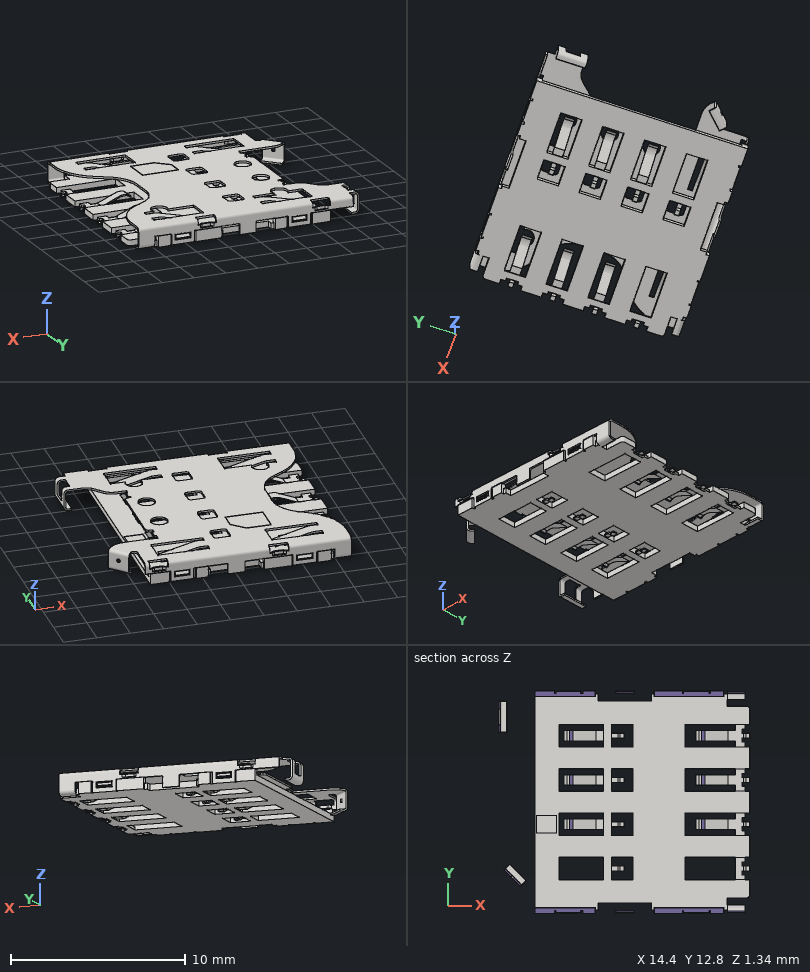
import cadquery as cq
import math


LENGTH = 14.42
WIDTH = 12.8
HEIGHT = 1.34
X_MIN = -LENGTH / 2
X_MAX = LENGTH / 2

PITCH = 2.54
ROWS = [(i - 1.5) * PITCH for i in range(4)]
SPRING_ROWS = ROWS[1:]
COLUMN_STEP = 7.56

SHEET = 0.12
BEND = 0.25
COVER_HALF = 6.36
COVER_RIGHT = 6.93
SKIRT_Z = 0.69
FLANGE = 0.48
WINDOW_LENGTH = 3.1
WINDOW_WIDTH = 1.4
WINDOW_Y = 4.75
WINDOW_ROOTS = [-1.30, 5.53]
FINGER_HINGES = [-1.81, 5.03]
FINGER_BENDS = [0.06, 0.18]
FINGER_BEND_SLOPE = 0.14
FINGER_WIDTH = 0.78
FINGER_Y = 4.72
FINGER_REACH = 2.78
FINGER_DROP = 0.54
ROUND_HOLE_R = 0.5
ROUND_HOLE_X = -3.07
SQUARE_HOLE_X = -0.18
SQUARE_HOLE = 1.0
SQUARE_HOLE_R = 0.17
ENGRAVE = 0.02

LEFT_TAB_Y = 4.9
LEFT_TAB_WIDTH = 1.79
CORNER_TAB_CENTER = (-6.435, -4.365)
CORNER_TAB_WIDTH = 1.35
CORNER_TAB_ANGLE = 45

PLAIN_SKIRT = (-0.46, 0.55)
LATCH_SKIRTS = [(-3.89, -2.51), (3.42, 4.85)]
LATCH_MARGIN = 0.22
LATCH_Z = (0.28, 0.62)
END_SKIRT = (5.92, COVER_RIGHT)
NOTCHES = [(-5.14, -4.04), (2.05, 3.18)]
NOTCH_INNER_Y = 6.0
DIMPLE_Z = (0.78, 0.97)
DIMPLE_DEPTH = 0.12

BASE_LEFT = -5.13
FLOOR = 0.37
FLOOR_HALF = 6.2
RAIL_INNER_Y = 6.05
RAILS = [(BASE_LEFT, -1.65), (1.71, 5.71)]
RAIL_BLOCKS = [(BASE_LEFT, -3.99), (-2.38, -1.65), (1.71, 3.35), (4.92, 5.71)]
CELL_WIDTH = 1.28
SIDE_RECESS = (-1.48, 1.55)
SIDE_RECESS_Y = 5.8
LEFT_CELLS = (-3.72, -1.2)
RIGHT_CELLS = (3.49, 6.36)
STRIP_TOP = 0.16
STRIP_RIGHT = 6.93
END_LUG_OUTER_Y = 5.51
END_LUG_R = 0.2
LATCH_CHAMFER = (0.18, 0.1)
FOOT_CELL = (-0.72, 0.5)
FOOT_NOTCH_DEPTH = 0.17
FOOT_NOTCH_HALF = 0.36
PIN_MARK_X = (-5.02, -3.9)
PIN_MARK_HALF = 0.5

CONTACT_WIDTH = 0.62
FOOT_WIDTH = 0.3
CONTACT_SHEET = 0.08
FOOT_ROOT = 0.1
MIDDLE_FOOT_END = 0.0
SPRING_ROOT = 0.05
CREST_Z = 0.68


def block(x, y, z):
    """Box between the (low, high) limits on each axis."""
    size = (x[1] - x[0], y[1] - y[0], z[1] - z[0])
    return cq.Workplane("XY").box(*size, centered=False).translate((x[0], y[0], z[0]))


def mirrored(body):
    """The body together with its mirror image across Y = 0."""
    return body.union(body.mirror("XZ"))


def profile_along_y(points, y_mid, width):
    """Closed XZ outline extruded symmetrically about y_mid."""
    sheet = cq.Workplane("XZ").polyline(points).close().extrude(width / 2, both=True)
    return sheet.translate((0, y_mid, 0))


def bent_strip(width):
    """C-shaped bent sheet: outer face on X = 0, both flanges pointing to +X."""
    reach = FLANGE + BEND
    half = width / 2
    outer = block((0, reach), (-half, half), (0, HEIGHT)).edges("<X and |Y").fillet(BEND)
    inner = block((SHEET, 2 * reach), (-half, half), (SHEET, HEIGHT - SHEET))
    inner = inner.edges("<X and |Y").fillet(BEND - SHEET)
    end = block((FLANGE, 2 * reach), (-half, half), (0, HEIGHT))
    return outer.cut(inner).cut(end)


def cover_outline():
    """Plan shape of the cover with its two left lobes and the S-curved right edge."""
    lip_x, lip_half = 3.89, 0.66
    hollow_r, nose_r = 2.0, 2.9
    slope = math.radians(32)
    turn = math.pi / 2 - slope

    def on_hollow(angle):
        return (lip_x + hollow_r * (1 - math.cos(angle)), lip_half + hollow_r * math.sin(angle))

    hollow_mid, hollow_end = on_hollow(turn / 2), on_hollow(turn)
    run = COVER_RIGHT - nose_r * (1 - math.cos(turn)) - hollow_end[0]
    nose_y = hollow_end[1] + run * math.tan(slope) + nose_r * math.sin(turn)

    def on_nose(angle):
        return (COVER_RIGHT - nose_r * (1 - math.cos(angle)), nose_y - nose_r * math.sin(angle))

    nose_mid, nose_end = on_nose(turn / 2), on_nose(turn)

    def flip(point):
        return (point[0], -point[1])

    tab_in = (BEND - CORNER_TAB_WIDTH / 2) * math.sqrt(0.5)
    tab_out = (BEND + CORNER_TAB_WIDTH / 2) * math.sqrt(0.5)
    tab_x, tab_y = CORNER_TAB_CENTER
    tab_top = (tab_x + tab_in, tab_y + tab_out)
    tab_bottom = (tab_x + tab_out, tab_y + tab_in)
    relief = 0.065

    tab_low_y = LEFT_TAB_Y - LEFT_TAB_WIDTH / 2
    tab_high_y = LEFT_TAB_Y + LEFT_TAB_WIDTH / 2
    front_x, back_x = -5.41, -6.59
    edge_x, step_x, inset_x = -3.76, -3.88, -4.15
    return (
        cq.Workplane("XY")
        .moveTo(front_x, -COVER_HALF)
        .lineTo(COVER_RIGHT, -COVER_HALF)
        .lineTo(COVER_RIGHT, -nose_y)
        .threePointArc(flip(nose_mid), flip(nose_end))
        .lineTo(*flip(hollow_end))
        .threePointArc(flip(hollow_mid), (lip_x, -lip_half))
        .lineTo(lip_x, lip_half)
        .threePointArc(hollow_mid, hollow_end)
        .lineTo(*nose_end)
        .threePointArc(nose_mid, (COVER_RIGHT, nose_y))
        .lineTo(COVER_RIGHT, COVER_HALF)
        .lineTo(back_x, COVER_HALF)
        .lineTo(back_x, tab_high_y)
        .lineTo(X_MIN + BEND, tab_high_y)
        .lineTo(X_MIN + BEND, tab_low_y)
        .lineTo(-6.08, tab_low_y)
        .threePointArc((-5.75, 3.92), (-5.47, 3.7))
        .lineTo(-5.12, 3.32)
        .threePointArc((-4.78, 3.05), (-4.35, 2.96))
        .lineTo(edge_x, 2.96)
        .lineTo(edge_x, 2.74)
        .lineTo(step_x, 2.74)
        .lineTo(step_x, 2.2)
        .lineTo(edge_x, 2.2)
        .lineTo(edge_x, 2.09)
        .lineTo(-4.0, 2.09)
        .lineTo(inset_x, 1.94)
        .lineTo(inset_x, -2.11)
        .lineTo(-4.0, -2.26)
        .lineTo(edge_x, -2.26)
        .lineTo(edge_x, -2.5)
        .lineTo(step_x, -2.5)
        .lineTo(step_x, -3.02)
        .lineTo(edge_x, -3.02)
        .lineTo(edge_x, -3.33)
        .lineTo(-6.0, -3.33)
        .threePointArc((-6.4, -3.45), tab_top)
        .lineTo(*tab_bottom)
        .lineTo(tab_bottom[0] + relief, tab_bottom[1] + relief)
        .threePointArc((-5.5, -4.62), (front_x, -4.82))
        .close()
        .extrude(HEIGHT)
    )


def cover_channel():
    """Top sheet with both side walls bent down to the mounting plane."""
    along = (X_MIN, COVER_RIGHT)
    inner_half = COVER_HALF - SHEET
    outer = block(along, (-COVER_HALF, COVER_HALF), (0, HEIGHT))
    inner = block(along, (-inner_half, inner_half), (0, HEIGHT - SHEET))
    outer = outer.edges(">Z and |X").fillet(BEND)
    inner = inner.edges(">Z and |X").fillet(BEND - SHEET)
    return outer.cut(inner).intersect(cover_outline())


def skirt_cuts():
    """Material below the side walls, between the tabs that reach down, on the -Y side."""
    corner_r = 0.08
    gap_ends = sorted([PLAIN_SKIRT, (COVER_RIGHT, COVER_RIGHT)] + LATCH_SKIRTS)
    wall_y = (-COVER_HALF, -COVER_HALF + SHEET)
    cuts = cq.Workplane("XY")
    start = X_MIN
    for low, high in gap_ends:
        gap = block((start, low), wall_y, (0, SKIRT_Z)).edges(">Z and |Y").fillet(corner_r)
        cuts = cuts.union(gap)
        start = high
    for low, high in LATCH_SKIRTS:
        cuts = cuts.union(block((low + LATCH_MARGIN, high - LATCH_MARGIN), wall_y, LATCH_Z))
    return cuts


def end_skirts():
    """Bent-under side tabs at the right end of the cover."""
    strip = bent_strip(END_SKIRT[1] - END_SKIRT[0]).rotate((0, 0, 0), (0, 0, 1), 90)
    return mirrored(strip.translate((sum(END_SKIRT) / 2, -COVER_HALF, 0)))


def left_tab():
    """Tab at the left edge, bent down and under, with an opening over the upper bend."""
    opening_depth, opening_bottom, corner_r = 0.48, 0.45, 0.08
    opening_y = (LEFT_TAB_Y - 0.45, LEFT_TAB_Y + 0.43)
    opening = block((X_MIN, X_MIN + opening_depth), opening_y, (opening_bottom, HEIGHT))
    opening = opening.edges("<Z and |X").fillet(corner_r)
    return bent_strip(LEFT_TAB_WIDTH).translate((X_MIN, LEFT_TAB_Y, 0)), opening


def corner_tab():
    """Diagonal tab with a pin hole."""
    hole_r, hole_z = 0.11, 0.75
    hole = cq.Workplane("YZ").center(0, hole_z).circle(hole_r).extrude(SHEET)
    strip = bent_strip(CORNER_TAB_WIDTH).cut(hole)
    strip = strip.rotate((0, 0, 0), (0, 0, 1), CORNER_TAB_ANGLE)
    return strip.translate(CORNER_TAB_CENTER + (0,))


def cover_holes():
    """Finger windows, contact inspection holes and the shallow engraved panel."""
    cuts = cq.Workplane("XY")
    for root in WINDOW_ROOTS:
        cuts = cuts.union(
            cq.Workplane("XY")
            .pushPoints([(root - WINDOW_LENGTH / 2, s * WINDOW_Y) for s in (-1, 1)])
            .rect(WINDOW_LENGTH, WINDOW_WIDTH)
            .extrude(HEIGHT)
        )
    round_spots = [(ROUND_HOLE_X, y) for y in SPRING_ROWS]
    round_spots.append((ROUND_HOLE_X + COLUMN_STEP, ROWS[-1]))
    rounds = cq.Workplane("XY").pushPoints(round_spots).circle(ROUND_HOLE_R).extrude(HEIGHT)
    squares = (
        cq.Workplane("XY")
        .pushPoints([(SQUARE_HOLE_X, y) for y in ROWS])
        .rect(SQUARE_HOLE, SQUARE_HOLE)
        .extrude(HEIGHT)
        .edges("|Z")
        .fillet(SQUARE_HOLE_R)
    )
    panel = (
        cq.Workplane("XY", origin=(0, 0, HEIGHT - ENGRAVE))
        .polyline([(0.7, -1.88), (2.95, -1.88), (2.95, -3.56), (1.48, -3.56), (0.7, -2.85)])
        .close()
        .extrude(ENGRAVE)
    )
    above_base = block((X_MIN, X_MAX), (-WIDTH, WIDTH), (HEIGHT - SHEET, HEIGHT))
    return cuts.union(rounds).union(squares).intersect(above_base).union(panel)


def cover_fingers():
    """Card-pressing fingers sloping down to the left inside each window."""
    fingers = cq.Workplane("XY")
    under = HEIGHT - SHEET
    for root, hinge, bend in zip(WINDOW_ROOTS, FINGER_HINGES, FINGER_BENDS):
        bend_drop = bend * FINGER_BEND_SLOPE
        tip = root - FINGER_REACH
        outline = [
            (root, HEIGHT),
            (hinge, HEIGHT),
            (hinge - bend, HEIGHT - bend_drop),
            (tip, HEIGHT - FINGER_DROP),
            (tip, under - FINGER_DROP),
            (hinge - bend, under - bend_drop),
            (hinge, under),
            (root, under),
        ]
        fingers = fingers.union(profile_along_y(outline, FINGER_Y, FINGER_WIDTH))
    return mirrored(fingers)


def bend_notches():
    """Openings through the bend above each wall dimple, on the -Y side."""
    cuts = cq.Workplane("XY")
    for span in NOTCHES:
        cuts = cuts.union(block(span, (-COVER_HALF, -NOTCH_INNER_Y), (DIMPLE_Z[1], HEIGHT)))
    return cuts


def dimple(span, y_face, depth):
    """Trapezoid pressed inward from the wall plane at y_face."""
    margin, taper = 0.14, 0.16
    low, high = span[0] + margin, span[1] - margin
    return (
        cq.Workplane("XY", origin=(0, 0, DIMPLE_Z[0]))
        .polyline([
            (low, y_face),
            (high, y_face),
            (high - taper, y_face + depth),
            (low + taper, y_face + depth),
        ])
        .close()
        .extrude(DIMPLE_Z[1] - DIMPLE_Z[0])
    )


def make_cover():
    """Cover sheet with its tabs, wall dimples, holes and fingers."""
    tab, opening = left_tab()
    cover = cover_channel().cut(mirrored(skirt_cuts())).cut(mirrored(bend_notches()))
    for span in NOTCHES:
        cover = cover.union(mirrored(dimple(span, SHEET - COVER_HALF, DIMPLE_DEPTH)))
        cover = cover.cut(mirrored(dimple(span, -COVER_HALF, DIMPLE_DEPTH)))
    cover = cover.union(end_skirts()).union(tab).cut(opening).union(corner_tab())
    return cover.cut(cover_holes()).union(cover_fingers())


def base_rails():
    """Side rails of the base with outer blocks and latch lugs, on the -Y side."""
    outer_y = -WIDTH / 2
    clearance = 0.05
    rails = cq.Workplane("XY")
    for span in RAILS:
        rails = rails.union(block(span, (-COVER_HALF + SHEET, -RAIL_INNER_Y), (0, SKIRT_Z)))
    for span in RAIL_BLOCKS:
        rails = rails.union(block(span, (outer_y, -RAIL_INNER_Y), (0, SKIRT_Z)))
    for low, high in LATCH_SKIRTS:
        gap = LATCH_MARGIN + clearance
        lug_z = (LATCH_Z[0] + clearance, LATCH_Z[1] - clearance)
        lug = block((low + gap, high - gap), (outer_y, -RAIL_INNER_Y), lug_z)
        rails = rails.union(lug.edges("<Y and >Z").chamfer(*LATCH_CHAMFER))
    return rails


def base_cells():
    """Openings in the floor under the springs, the feet and the right edge."""
    cuts = cq.Workplane("XY")
    deep = (0, FLOOR)
    for y in ROWS:
        low, high = y - CELL_WIDTH / 2, y + CELL_WIDTH / 2
        for cell in (LEFT_CELLS, RIGHT_CELLS):
            cuts = cuts.union(block(cell, (low, high), deep))
        cuts = cuts.union(block(FOOT_CELL, (low, high), deep))
        cuts = cuts.union(block((RIGHT_CELLS[1], X_MAX), (low, high), (STRIP_TOP, FLOOR)))
        cuts = cuts.union(block((STRIP_RIGHT, X_MAX), (low, high), deep))
        notch_x = (STRIP_RIGHT - FOOT_NOTCH_DEPTH, X_MAX)
        cuts = cuts.union(block(notch_x, (y - FOOT_NOTCH_HALF, y + FOOT_NOTCH_HALF), deep))
    return cuts


def base_side_cuts():
    """Floor recesses around the plain side tab and the bent-under end tab, on the -Y side."""
    recess = block(SIDE_RECESS, (-FLOOR_HALF, -SIDE_RECESS_Y), (0, FLOOR))
    corner = block((END_SKIRT[0], X_MAX), (-FLOOR_HALF, -END_LUG_OUTER_Y), (0, FLOOR))
    return recess.union(corner)


def make_base():
    """Floor with its openings, side rails and pin-one mark."""
    floor = block((BASE_LEFT, X_MAX), (-FLOOR_HALF, FLOOR_HALF), (0, FLOOR))
    floor = floor.cut(mirrored(base_side_cuts()))
    floor = floor.faces(">X").edges("|Z").fillet(END_LUG_R)
    mark_y = (ROWS[1] - PIN_MARK_HALF, ROWS[1] + PIN_MARK_HALF)
    pin_mark = block(PIN_MARK_X, mark_y, (FLOOR - ENGRAVE, FLOOR))
    return floor.union(mirrored(base_rails())).cut(base_cells()).cut(pin_mark)


def contact_spring(root_x, y):
    """Spring arm rising to the left from its root in the floor to a rounded crest."""
    top = STRIP_TOP
    t = CONTACT_SHEET
    flat_end = root_x - 0.42
    slope_end = root_x - 1.6
    crest = root_x - 1.83
    nose = root_x - 2.07
    tip = root_x - 2.26
    shoulder_z = CREST_Z - 0.03
    tip_z = CREST_Z - 0.16
    arm = (
        cq.Workplane("XZ")
        .moveTo(root_x + SPRING_ROOT, top)
        .lineTo(flat_end, top)
        .lineTo(slope_end, shoulder_z)
        .threePointArc((crest, CREST_Z), (nose, shoulder_z))
        .lineTo(tip, tip_z)
        .lineTo(tip, tip_z - t)
        .lineTo(nose, shoulder_z - t)
        .threePointArc((crest, CREST_Z - t), (slope_end, shoulder_z - t))
        .lineTo(flat_end, top - t)
        .lineTo(root_x + SPRING_ROOT, top - t)
        .close()
        .extrude(CONTACT_WIDTH / 2, both=True)
    )
    return arm.translate((0, y, 0))


def contact_foot(root_x, end_x, y):
    """Solder foot stepping down to the mounting plane."""
    t = CONTACT_SHEET
    knee = end_x - 0.36
    step = 0.12
    offset = step / 2
    outline = [
        (root_x, STRIP_TOP),
        (knee, STRIP_TOP),
        (knee + step, t),
        (end_x, t),
        (end_x, 0),
        (knee + offset, 0),
        (knee - offset, STRIP_TOP - t),
        (root_x, STRIP_TOP - t),
    ]
    return profile_along_y(outline, y, FOOT_WIDTH)


def make_contacts():
    """Six spring arms and two columns of solder feet."""
    contacts = cq.Workplane("XY")
    for y in SPRING_ROWS:
        for root_x in (LEFT_CELLS[1], RIGHT_CELLS[1]):
            contacts = contacts.union(contact_spring(root_x, y))
    for y in ROWS:
        contacts = contacts.union(contact_foot(FOOT_CELL[0] - FOOT_ROOT, MIDDLE_FOOT_END, y))
        contacts = contacts.union(contact_foot(STRIP_RIGHT - FOOT_NOTCH_DEPTH - FOOT_ROOT, X_MAX, y))
    return contacts


result = make_base().union(make_cover()).union(make_contacts())